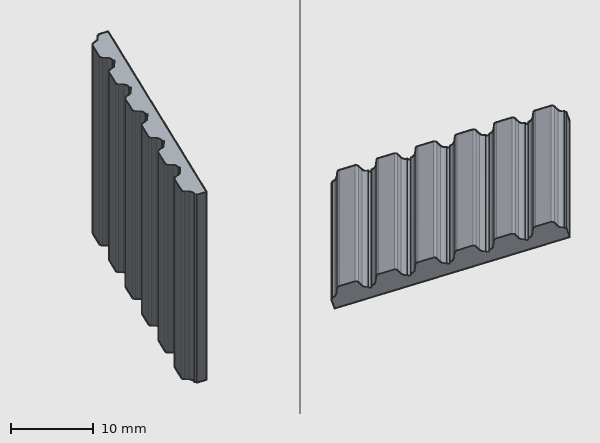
import cadquery as cq
import math

length = 32.0
tooth_count = 6
width = 30.0
pitch = width / tooth_count
thickness = 2.7
tooth_height = 1.2
tip_width = 2.5
flank_angle = math.radians(25)
tip_radius = 0.4
root_radius = 0.75
groove_radius = 0.208

back_thickness = thickness - tooth_height
root_width = tip_width + 2 * tooth_height * math.tan(flank_angle)


def make_backing():
    return cq.Workplane("XY").box(width, back_thickness, length, centered=(False, False, False))


def make_tooth(center_x):
    """Trapezoid tooth pointing to -Y, standing on the root line y = 0."""
    half_tip = tip_width / 2
    half_root = root_width / 2
    outline = [
        (center_x - half_root, 0),
        (center_x - half_tip, -tooth_height),
        (center_x + half_tip, -tooth_height),
        (center_x + half_root, 0),
    ]
    return cq.Workplane("XY").polyline(outline).close().extrude(length)


def edges_at_depth(body, x_positions, y):
    """Select the Z edges at the given corners of the profile."""
    tolerance = 0.003
    selected = body.edges("|Z").filter(
        lambda edge: abs(edge.Center().y - y) < tolerance
        and any(abs(edge.Center().x - x) < tolerance for x in x_positions)
    )
    return selected


tooth_centers = [pitch * (index + 0.5) for index in range(tooth_count)]
tip_corners = [x + side * tip_width / 2 for x in tooth_centers for side in (-1, 1)]
root_corners = [x + side * root_width / 2 for x in tooth_centers for side in (-1, 1)]

belt = make_backing()
for tooth_center in tooth_centers:
    belt = belt.union(make_tooth(tooth_center))

belt = edges_at_depth(belt, tip_corners, -tooth_height).fillet(tip_radius)
belt = edges_at_depth(belt, root_corners, 0).fillet(root_radius)

groove_centers = [(pitch * index, 0) for index in range(tooth_count + 1)]
grooves = cq.Workplane("XY").pushPoints(groove_centers).circle(groove_radius).extrude(length)

result = belt.cut(grooves)